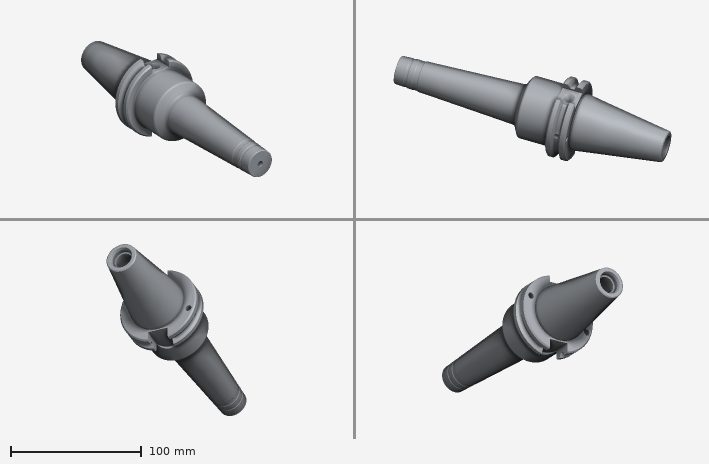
import cadquery as cq
import math

total_length = 218.2
gauge_x = 68.0
gauge_dia = 44.5
taper_ratio = 7 / 24
taper_end_chamfer = 0.7
relief_x = 70.0
relief_chamfer = 0.5
relief_dia = 43.6

flange_x = 71.4
flange_width = 16.0
flange_dia = 63.5
flange_chamfer = 1.0
groove_offset = 8.0
groove_floor_dia = 56.3
groove_floor_width = 3.0
groove_side_angle = 30.0
flange_fillet = 1.0

body_dia = 49.5
body_edge_x = 112.0
body_edge_radius = 2.2
shoulder_angle = 60.0
shoulder_fillet = 3.7

shank_start_x = 120.3
shank_start_dia = 32.3
shank_angle = 2.9
tip_chamfer = 0.5
mark_depth = 0.33
mark_side = 0.7
marks = [(198.4, 203.5), (207.3, 210.0)]

slot_width = 16.2
slot_floor_top = 25.0
slot_floor_bottom = 22.7

dimple_dia = 9.5
dimple_cone_angle = 118.0

mouth_dia = 18.1
mouth_depth = 2.0
thread_dia = 16.4
thread_depth = 5.5
pilot_dia = 13.3
pilot_depth = 30.5
pilot_cone_angle = 118.0
throat_dia = 8.0
throat_length = 8.7
through_dia = 5.0

face_hole_circle_dia = 54.1
face_hole_angle = 20.0
face_hole_dia = 5.0
face_hole_depth = 5.5
face_hole_tip_angle = 118.0
radial_hole_dia = 4.1
radial_hole_bottom_dia = 49.3

flange_end_x = flange_x + flange_width
groove_x = flange_x + groove_offset
flange_r = flange_dia / 2
body_r = body_dia / 2


def cone_length(large_dia, small_dia, included_angle):
    """Axial length of a cone between two diameters."""
    return (large_dia - small_dia) / 2 / math.tan(math.radians(included_angle / 2))


def shank_radius(x):
    return shank_start_dia / 2 - (x - shank_start_x) * math.tan(math.radians(shank_angle))


def taper_radius(x):
    return gauge_dia / 2 - (gauge_x - x) * taper_ratio / 2


def make_turned_body():
    half_floor = groove_floor_width / 2
    groove_depth = (flange_dia - groove_floor_dia) / 2
    half_top = half_floor + groove_depth * math.tan(math.radians(groove_side_angle))
    steep = math.radians(shoulder_angle)
    shallow = math.radians(shank_angle)
    shoulder_start = (
        body_edge_x + body_edge_radius * math.sin(steep),
        body_r - body_edge_radius * (1 - math.cos(steep)),
    )
    shoulder_end = (
        shank_start_x - shoulder_fillet * (math.sin(steep) - math.sin(shallow)),
        shank_start_dia / 2 + shoulder_fillet * (math.cos(shallow) - math.cos(steep)),
    )
    profile = (
        cq.Workplane("XY")
        .moveTo(0, 0)
        .lineTo(0, taper_radius(0) - taper_end_chamfer)
        .lineTo(taper_end_chamfer, taper_radius(taper_end_chamfer))
        .lineTo(gauge_x, gauge_dia / 2)
        .lineTo(relief_x, gauge_dia / 2)
        .lineTo(relief_x + relief_chamfer, relief_dia / 2)
        .lineTo(flange_x, relief_dia / 2)
        .lineTo(flange_x, flange_r - flange_chamfer)
        .lineTo(flange_x + flange_chamfer, flange_r)
        .lineTo(groove_x - half_top, flange_r)
        .lineTo(groove_x - half_floor, groove_floor_dia / 2)
        .lineTo(groove_x + half_floor, groove_floor_dia / 2)
        .lineTo(groove_x + half_top, flange_r)
        .lineTo(flange_end_x - flange_chamfer, flange_r)
        .lineTo(flange_end_x, flange_r - flange_chamfer)
        .lineTo(flange_end_x, body_r + flange_fillet)
        .radiusArc((flange_end_x + flange_fillet, body_r), -flange_fillet)
        .lineTo(body_edge_x, body_r)
        .radiusArc(shoulder_start, body_edge_radius)
        .lineTo(*shoulder_end)
        .radiusArc((shank_start_x, shank_start_dia / 2), -shoulder_fillet)
    )
    for start, end in marks:
        floor_start = start + mark_side
        floor_end = end - mark_side
        profile = (
            profile.lineTo(start, shank_radius(start))
            .lineTo(floor_start, shank_radius(floor_start) - mark_depth)
            .lineTo(floor_end, shank_radius(floor_end) - mark_depth)
            .lineTo(end, shank_radius(end))
        )
    chamfer_x = total_length - tip_chamfer
    profile = (
        profile.lineTo(chamfer_x, shank_radius(chamfer_x))
        .lineTo(total_length, shank_radius(chamfer_x) - tip_chamfer)
        .lineTo(total_length, 0)
        .close()
    )
    return profile.revolve(360, (0, 0, 0), (1, 0, 0))


def make_bore():
    cone_end = pilot_depth + cone_length(pilot_dia, throat_dia, pilot_cone_angle)
    throat_end = cone_end + throat_length
    return (
        cq.Workplane("XY")
        .moveTo(0, 0)
        .lineTo(0, mouth_dia / 2)
        .lineTo(mouth_depth, thread_dia / 2)
        .lineTo(thread_depth, thread_dia / 2)
        .lineTo(thread_depth, pilot_dia / 2)
        .lineTo(pilot_depth, pilot_dia / 2)
        .lineTo(cone_end, throat_dia / 2)
        .lineTo(throat_end, throat_dia / 2)
        .lineTo(throat_end, through_dia / 2)
        .lineTo(total_length, through_dia / 2)
        .lineTo(total_length, 0)
        .close()
        .revolve(360, (0, 0, 0), (1, 0, 0))
    )


def make_slot(floor_z):
    """Slot open on the taper side, with a round end just past the flange."""
    half_width = slot_width / 2
    height = math.copysign(flange_r, floor_z)
    return (
        cq.Workplane("XY", origin=(0, 0, floor_z))
        .moveTo(flange_x, -half_width)
        .lineTo(flange_end_x, -half_width)
        .threePointArc((flange_end_x + half_width, 0), (flange_end_x, half_width))
        .lineTo(flange_x, half_width)
        .close()
        .extrude(height)
    )


def make_dimple():
    depth = cone_length(dimple_dia, 0, dimple_cone_angle)
    cone = cq.Solid.makeCone(
        dimple_dia / 2, 0, depth, cq.Vector(groove_x, 0, slot_floor_top), cq.Vector(0, 0, -1)
    )
    return cq.Workplane(obj=cone)


def make_face_hole(angle):
    """Blind hole along X with a conical bottom, joined by a radial hole from the groove floor."""
    tip_depth = face_hole_depth + cone_length(face_hole_dia, 0, face_hole_tip_angle)
    axial = (
        cq.Workplane("XY")
        .moveTo(0, 0)
        .lineTo(0, face_hole_dia / 2)
        .lineTo(face_hole_depth, face_hole_dia / 2)
        .lineTo(tip_depth, 0)
        .close()
        .revolve(360, (0, 0, 0), (1, 0, 0))
        .translate((flange_x, face_hole_circle_dia / 2, 0))
    )
    bottom = radial_hole_bottom_dia / 2
    radial = cq.Workplane(
        obj=cq.Solid.makeCylinder(
            radial_hole_dia / 2, flange_r - bottom, cq.Vector(groove_x, bottom, 0), cq.Vector(0, 1, 0)
        )
    )
    return axial.union(radial).rotate((0, 0, 0), (1, 0, 0), angle)


result = make_turned_body().cut(make_bore())
for floor_z in (slot_floor_top, -slot_floor_bottom):
    result = result.cut(make_slot(floor_z))
result = result.cut(make_dimple())
for angle in (face_hole_angle, face_hole_angle + 180):
    result = result.cut(make_face_hole(angle))